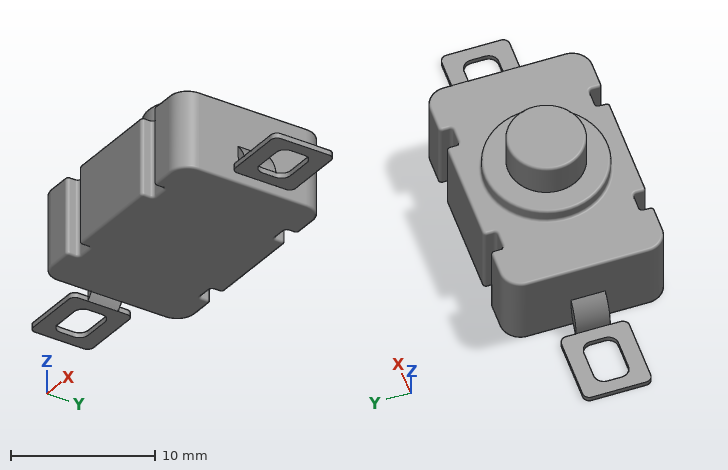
import cadquery as cq
import math

overall_length = 31.0
total_height = 10.0

housing_length = 17.9
housing_width = 11.9
housing_height = 6.3
corner_radius = 1.5
edge_radius = 0.2

notch_width = 1.5
notch_depth = 0.95
notch_corner_radius = 0.25
notch_offset = 4.7

collar_diameter = 9.0
collar_height = 1.02
button_diameter = 5.6

plate_length = 5.5
plate_width = 5.0
plate_thickness = 0.4
plate_corner_radius = 0.5
eye_length = 3.55
eye_width = 2.55
eye_corner_radius = 0.75
strap_width = 2.5
strap_rise = 2.55

housing_end = housing_length / 2
plate_inner_end = overall_length / 2 - plate_length


def make_notched_block():
    """Rounded block with two full-height notches in each long side."""
    block = (
        cq.Workplane("XY")
        .box(housing_length, housing_width, housing_height, centered=(True, True, False))
        .edges("|Z")
        .fillet(corner_radius)
    )
    notch_centers = [
        (side_x * notch_offset, side_y * housing_width / 2)
        for side_x in (-1, 1)
        for side_y in (-1, 1)
    ]
    notches = (
        cq.Workplane("XY")
        .pushPoints(notch_centers)
        .rect(notch_width, 2 * notch_depth)
        .extrude(housing_height)
    )
    notch_zone = cq.selectors.BoxSelector(
        (-notch_offset - notch_width, -housing_width, 0),
        (notch_offset + notch_width, housing_width, housing_height),
    )
    block = block.cut(notches)
    block = block.edges("|Z").edges(notch_zone).fillet(notch_corner_radius)
    return block.faces("<Z or >Z").edges().fillet(edge_radius)


def make_collar_and_button():
    """Turned collar with a flared foot, carrying the round push button."""
    collar_radius = collar_diameter / 2
    button_radius = button_diameter / 2
    collar_top = housing_height + collar_height
    arc_middle = edge_radius * (1 - math.sqrt(0.5))
    profile = (
        cq.Workplane("XZ")
        .moveTo(0, housing_height)
        .lineTo(collar_radius + edge_radius, housing_height)
        .threePointArc(
            (collar_radius + arc_middle, housing_height + arc_middle),
            (collar_radius, housing_height + edge_radius),
        )
        .lineTo(collar_radius, collar_top - edge_radius)
        .threePointArc(
            (collar_radius - arc_middle, collar_top - arc_middle),
            (collar_radius - edge_radius, collar_top),
        )
        .lineTo(button_radius, collar_top)
        .lineTo(button_radius, total_height - edge_radius)
        .threePointArc(
            (button_radius - arc_middle, total_height - arc_middle),
            (button_radius - edge_radius, total_height),
        )
        .lineTo(0, total_height)
        .close()
    )
    return profile.revolve(360, (0, 0, 0), (0, 1, 0))


def make_housing():
    return make_notched_block().union(make_collar_and_button())


def make_plate():
    """Flat lug with a rounded rectangular eye, on the +X side."""
    plate_center = overall_length / 2 - plate_length / 2
    plate = (
        cq.Workplane("XY")
        .center(plate_center, 0)
        .rect(plate_length, plate_width)
        .extrude(plate_thickness)
        .edges("|Z")
        .fillet(plate_corner_radius)
    )
    eye = (
        cq.Workplane("XY")
        .center(plate_center, 0)
        .rect(eye_length, eye_width)
        .extrude(plate_thickness)
        .edges("|Z")
        .fillet(eye_corner_radius)
    )
    return plate.cut(eye)


def make_strap():
    """Leaf-shaped strap between the plate end and the housing end wall.

    Both long sides are equal arcs: the outer one leaves the plate vertically,
    and the inner one meets the housing wall vertically.
    """
    run = plate_inner_end - housing_end
    arc_radius = (run**2 + strap_rise**2) / (2 * run)
    half_angle = math.asin(strap_rise / arc_radius) / 2
    middle_run = arc_radius * (1 - math.cos(half_angle))
    middle_rise = arc_radius * math.sin(half_angle)
    profile = (
        cq.Workplane("XZ")
        .moveTo(plate_inner_end, 0)
        .lineTo(plate_inner_end, plate_thickness)
        .threePointArc(
            (plate_inner_end - middle_run, plate_thickness + middle_rise),
            (housing_end, plate_thickness + strap_rise),
        )
        .lineTo(housing_end, strap_rise)
        .threePointArc(
            (housing_end + middle_run, strap_rise - middle_rise),
            (plate_inner_end, 0),
        )
        .close()
    )
    return profile.extrude(strap_width / 2, both=True)


def make_terminal(angle):
    """One solder terminal, turned about Z to its end of the housing."""
    terminal = make_plate().union(make_strap())
    return terminal.rotate((0, 0, 0), (0, 0, 1), angle)


housing = make_housing()
terminals = [make_terminal(angle) for angle in (0, 180)]

result = cq.Compound.makeCompound([housing.val(), *[terminal.val() for terminal in terminals]])